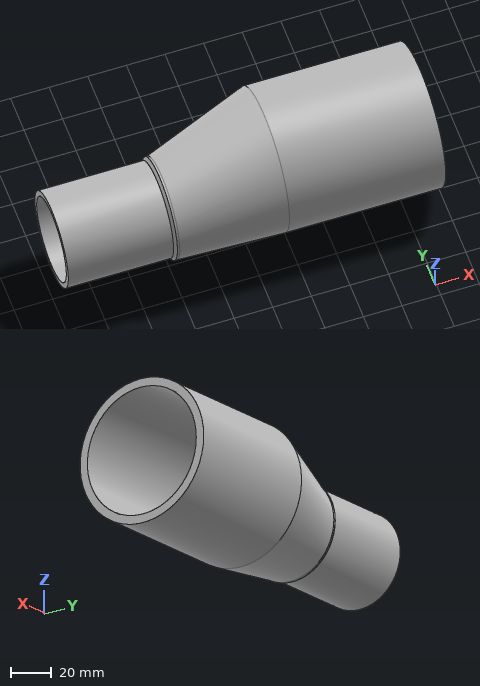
import cadquery as cq


total_length = 195.0
large_diameter = 75.0
large_wall = 4.5
small_diameter = 50.0
small_wall = 3.0
collar_diameter = 53.0

collar_start = 54.5
collar_bevel = (collar_diameter - small_diameter) / 2
collar_land_start = collar_start + collar_bevel
collar_land_width = 1.2
cone_start = collar_land_start + collar_land_width
cone_end = 114.0

small_axis_y = -(large_diameter - collar_diameter) / 2

large_bore = large_diameter - 2 * large_wall
small_bore = small_diameter - 2 * small_wall


def section(x_start, x_end, diameter_start, diameter_end, y_start, y_end):
    """Solid with straight sides between two circles that both face along X."""
    return (
        cq.Workplane("YZ", origin=(x_start, 0, 0))
        .center(y_start, 0)
        .circle(diameter_start / 2)
        .workplane(offset=x_end - x_start)
        .center(y_end - y_start, 0)
        .circle(diameter_end / 2)
        .loft(ruled=True)
    )


def cylinder(x_start, x_end, diameter, axis_y):
    """Solid cylinder along X between two stations."""
    return (
        cq.Workplane("YZ", origin=(x_start, axis_y, 0))
        .circle(diameter / 2)
        .extrude(x_end - x_start)
    )


def outer_body():
    """Small pipe, bevelled collar, oblique cone and large pipe, all solid."""
    small_pipe = cylinder(0, collar_start, small_diameter, small_axis_y)
    bevel = section(
        collar_start, collar_land_start, small_diameter, collar_diameter, small_axis_y, small_axis_y
    )
    land = cylinder(collar_land_start, cone_start, collar_diameter, small_axis_y)
    cone = section(cone_start, cone_end, collar_diameter, large_diameter, small_axis_y, 0)
    large_pipe = cylinder(cone_end, total_length, large_diameter, 0)
    return small_pipe.union(bevel).union(land).union(cone).union(large_pipe)


def flow_passage():
    """Through passage: small bore, oblique conical transition and large bore."""
    small_passage = cylinder(0, cone_start, small_bore, small_axis_y)
    transition = section(cone_start, cone_end, small_bore, large_bore, small_axis_y, 0)
    large_passage = cylinder(cone_end, total_length, large_bore, 0)
    return small_passage.union(transition).union(large_passage)


result = outer_body().cut(flow_passage())